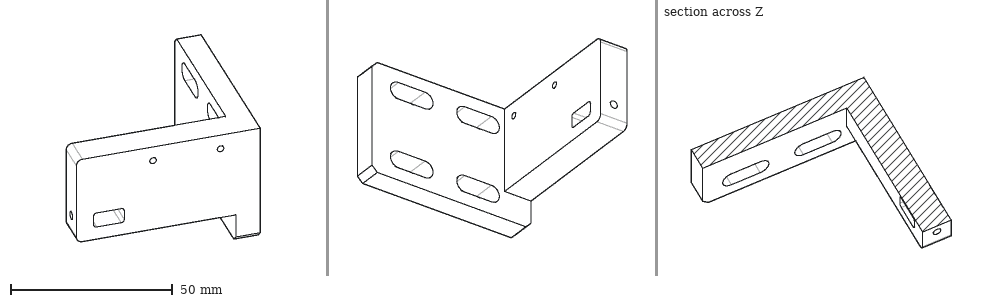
import cadquery as cq

length = 60.0
height = 40.0

plate_thickness = 8.0
corner_chamfer = 2.0
slot_length = 16.0
slot_width = 6.0
slot_center_x = 27.5
slot_pitch = 25.0

arm_thickness = 10.0
arm_height = 30.0
arm_corner_radius = 2.0

side_hole_diameter = 2.1
side_hole_drop = 5.0
first_side_hole_gap = 5.0
side_hole_pitch = 22.0
window_length = 10.0
window_height = 5.1
window_corner_radius = 1.0
window_center_y = 10.6
window_drop = 23.0
end_hole_diameter = 2.6

plate_front_y = length - plate_thickness
arm_left_x = length - arm_thickness
window_z = height - window_drop


def make_plate():
    """Plate with three chamfered corners; the corner above the arm stays square."""
    outline = [
        (0, corner_chamfer),
        (corner_chamfer, 0),
        (length - corner_chamfer, 0),
        (length, corner_chamfer),
        (length, height),
        (corner_chamfer, height),
        (0, height - corner_chamfer),
    ]
    plate = cq.Workplane("XZ", origin=(0, length, 0)).polyline(outline).close().extrude(plate_thickness)
    slots = (
        cq.Workplane("XZ", origin=(slot_center_x, length, height / 2))
        .rarray(slot_pitch, slot_pitch, 2, 2)
        .slot2D(slot_length, slot_width)
        .extrude(plate_thickness)
    )
    return plate.cut(slots)


def make_arm():
    """Arm flush with the top of the plate, with its free corners rounded."""
    return (
        cq.Workplane("XY", origin=(arm_left_x, 0, height - arm_height))
        .box(arm_thickness, length, arm_height, centered=False)
        .edges("|X and <Y")
        .fillet(arm_corner_radius)
    )


def make_side_holes():
    """Two small holes through the arm near its top edge."""
    first_y = plate_front_y - first_side_hole_gap
    centers = [(first_y - i * side_hole_pitch, height - side_hole_drop) for i in range(2)]
    return (
        cq.Workplane("YZ", origin=(arm_left_x, 0, 0))
        .pushPoints(centers)
        .circle(side_hole_diameter / 2)
        .extrude(arm_thickness)
    )


def make_window():
    """Rounded rectangular opening through the arm near its free end."""
    return (
        cq.Workplane("YZ", origin=(arm_left_x, window_center_y, window_z))
        .rect(window_length, window_height)
        .extrude(arm_thickness)
        .edges("|X")
        .fillet(window_corner_radius)
    )


def make_end_hole():
    """Hole from the free end of the arm into the window."""
    return (
        cq.Workplane("XZ", origin=(length - arm_thickness / 2, 0, window_z))
        .circle(end_hole_diameter / 2)
        .extrude(-window_center_y)
    )


result = (
    make_plate()
    .union(make_arm())
    .cut(make_side_holes())
    .cut(make_window())
    .cut(make_end_hole())
)